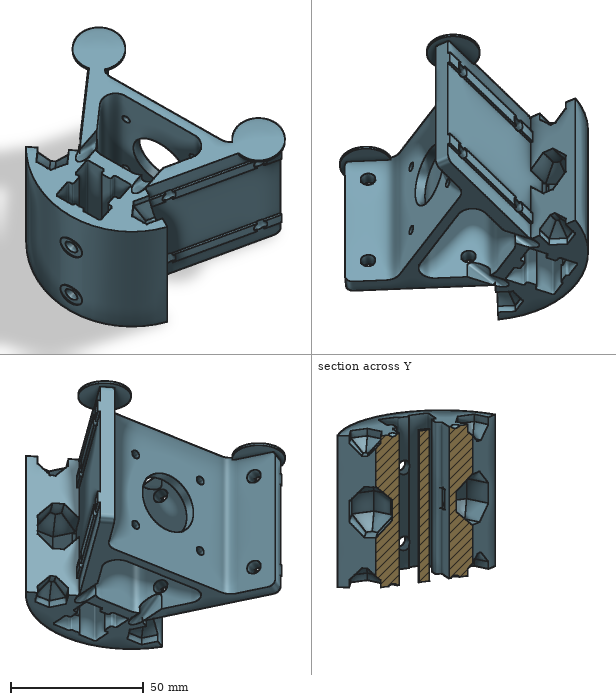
import cadquery as cq
import math

WIDTH = 93.84
HEIGHT = 60.0
Z_TOP = HEIGHT / 2
Z_BOTTOM = -HEIGHT / 2
MIRROR_SIDES = (-1, 1)
ARM_ANGLE = 60.0
ARM_COS = math.cos(math.radians(ARM_ANGLE))
ARM_SIN = math.sin(math.radians(ARM_ANGLE))

FRONT_RADIUS = 40.0
FRONT_CENTER_Y = 25.0
SHOULDER_OFFSET = 18.05

ARM_FACE_OFFSET = 7.0
ARM_INNER_OFFSET = 1.43
ARM_LENGTH = 74.5
ARM_END_FILLET = 3.0
PAD_STRIP_THICKNESS = 0.95
PAD_STRIP_HEIGHT = 4.8
PAD_STRIP_OVERLAP = 1.0
ARM_HOLE_DIAMETER = 5.6
ARM_HOLE_STATIONS = (27.75, 65.75)
ARM_HOLE_LEVELS = (-20.0, 20.0)
ARM_HOLE_DEPTH = 15.0

POCKET_FRONT_Y = 15.2
POCKET_BACK_Y = 43.1
CROSS_WALL_BACK_Y = 47.2
POCKET_FILLET = 6.0

BED_PAD_RADIUS = 10.0
BED_PAD_THICKNESS = 1.0
BED_PAD_X = WIDTH / 2 - BED_PAD_RADIUS
BED_PAD_Y = 55.56

SOCKET_WIDTH = 20.5
SOCKET_FILLET = 0.75
RIB_WIDTH = 4.5
RIB_HEIGHT = 2.25
FRONT_RIB_HEIGHT = 1.0
FRONT_RIB_FILLET = 0.45

SCREW_DIAMETER = 5.5
SCREW_LEVELS = (-20.0, 10.0)
SCREW_SEAT_DIAMETER = 10.0
SCREW_SEAT_DEPTH = 0.45

REAR_BORE_DIAMETER = 24.4
REAR_SCREW_DIAMETER = 3.4
REAR_SCREW_SPACING = 31.0

GROOVE_X = 12.93
GROOVE_DIAMETER = 4.8
GROOVE_SLOPE = 27.0
GROOVE_FRONT_Y = 7.5
GROOVE_LENGTH = 16.0

RECESS_OUTER_OFFSET = 22.9
END_RECESS_INNER_OFFSET = 11.1
END_RECESS_STATION = 14.85
END_RECESS_STRAIGHT = 5.8
END_RECESS_TAPER = 4.95
END_RECESS_TIP_WIDTH = 2.1
MID_RECESS_STATION = 12.5
MID_RECESS_STRAIGHT = 8.0
MID_RECESS_TAPER = 6.0
MID_RECESS_TIP_WIDTH = 4.4
SOCKET_WINDOW_BACK_Y = 5.1
SOCKET_WINDOW_HALF_LENGTH = 11.2
RECESS_REACH = 12.0


def arm_point(side, station, offset):
    """XY of a point given by its distance along an arm and its offset from the origin."""
    x = station * ARM_COS + offset * ARM_SIN
    y = station * ARM_SIN - offset * ARM_COS
    return (side * x, y)


def arm_x(offset, y):
    """X at height y on the plane parallel to an arm at the given offset."""
    return (offset + y * ARM_COS) / ARM_SIN


def prism(points, height=HEIGHT, bottom=Z_BOTTOM):
    """Upright prism over a closed outline."""
    return cq.Workplane("XY").workplane(offset=bottom).polyline(points).close().extrude(height)


def arm_box(side, stations, offsets, height, level):
    """Block aligned with one arm, centred on a level."""
    (s0, s1), (t0, t1) = stations, offsets
    corners = [(s0, t0), (s1, t0), (s1, t1), (s0, t1)]
    points = [arm_point(side, s, t) for s, t in corners]
    return prism(points, height, level - height / 2)


def front_block():
    """Cylinder segment behind the curved front, closed by two sloping shoulders."""
    shoulder_peak = SHOULDER_OFFSET / ARM_SIN
    run = 2 * FRONT_RADIUS
    drop = run * ARM_COS / ARM_SIN
    wedge = prism([
        (0, shoulder_peak),
        (-run, shoulder_peak - drop),
        (run, shoulder_peak - drop),
    ])
    cylinder = (
        cq.Workplane("XY")
        .workplane(offset=Z_BOTTOM)
        .center(0, FRONT_CENTER_Y)
        .circle(FRONT_RADIUS)
        .extrude(HEIGHT)
    )
    return cylinder.intersect(wedge)


def arm(side):
    """Side wall with rounded end corners."""
    block = arm_box(side, (0, ARM_LENGTH), (ARM_INNER_OFFSET, ARM_FACE_OFFSET), HEIGHT, 0)
    outward = cq.Vector(side * ARM_COS, ARM_SIN, 0)
    end_face = block.faces(cq.selectors.DirectionMinMaxSelector(outward, True))
    return end_face.edges("#Z").fillet(ARM_END_FILLET)


def cross_walls():
    """Solid between the arms up to the rear wall, with fillets into the arms behind it."""
    front_y = SOCKET_WIDTH / 2
    back_y = CROSS_WALL_BACK_Y + POCKET_FILLET
    half_front = arm_x(ARM_FACE_OFFSET, front_y)
    half_back = arm_x(ARM_FACE_OFFSET, back_y)
    fill = prism([(-half_front, front_y), (half_front, front_y), (half_back, back_y), (-half_back, back_y)])
    return fill.cut(trapezoid(CROSS_WALL_BACK_Y, back_y + POCKET_FILLET, "<Y"))


def trapezoid(front_y, back_y, filleted):
    """Space between the inner arm faces, with the chosen upright edges rounded."""
    half_front = arm_x(ARM_INNER_OFFSET, front_y)
    half_back = arm_x(ARM_INNER_OFFSET, back_y)
    space = prism([(-half_front, front_y), (half_front, front_y), (half_back, back_y), (-half_back, back_y)])
    return space.edges("|Z").edges(filleted).fillet(POCKET_FILLET)


def pad_strips():
    """Raised strips along the arm faces, one per hole level."""
    strips = cq.Workplane("XY")
    stations = (SHOULDER_OFFSET - PAD_STRIP_OVERLAP, ARM_LENGTH)
    offsets = (ARM_INNER_OFFSET, ARM_FACE_OFFSET + PAD_STRIP_THICKNESS)
    for side in MIRROR_SIDES:
        for level in ARM_HOLE_LEVELS:
            strips = strips.add(arm_box(side, stations, offsets, PAD_STRIP_HEIGHT, level))
    return strips.combine()


def bed_pads():
    """Thin discs on top of the arm ends."""
    centers = [(side * BED_PAD_X, BED_PAD_Y) for side in MIRROR_SIDES]
    return (
        cq.Workplane("XY")
        .workplane(offset=Z_TOP - BED_PAD_THICKNESS)
        .pushPoints(centers)
        .circle(BED_PAD_RADIUS)
        .extrude(BED_PAD_THICKNESS)
    )


def socket():
    """Square through socket with a rib on each wall."""
    half = SOCKET_WIDTH / 2
    void = cq.Workplane("XY").workplane(offset=Z_BOTTOM).rect(SOCKET_WIDTH, SOCKET_WIDTH).extrude(HEIGHT)
    void = void.edges("|Z").fillet(SOCKET_FILLET)
    side_rib = (RIB_HEIGHT, SOCKET_FILLET)
    front_rib = (FRONT_RIB_HEIGHT, FRONT_RIB_FILLET)
    for rib_height, fillet in (side_rib, front_rib, side_rib, side_rib):
        rib = (
            cq.Workplane("XY")
            .workplane(offset=Z_BOTTOM)
            .center(half - rib_height / 2, 0)
            .rect(rib_height, RIB_WIDTH)
            .extrude(HEIGHT)
        )
        around_rib = cq.selectors.BoxSelector(
            (half - 1.5 * rib_height, -RIB_WIDTH, Z_BOTTOM), (half + rib_height, RIB_WIDTH, Z_TOP)
        )
        void = void.cut(rib)
        void = void.edges("|Z").edges(around_rib).fillet(fillet)
        void = void.rotate((0, 0, 0), (0, 0, 1), 90)
    return void


def front_screw_holes():
    """Holes from the curved front into the socket, each with a shallow flat seat."""
    front_y = FRONT_CENTER_Y - FRONT_RADIUS
    points = [(0, level) for level in SCREW_LEVELS]
    plane = cq.Workplane("XZ", origin=(0, front_y, 0)).pushPoints(points)
    holes = plane.circle(SCREW_DIAMETER / 2).extrude(front_y)
    seats = plane.circle(SCREW_SEAT_DIAMETER / 2).extrude(-SCREW_SEAT_DEPTH)
    return holes.union(seats)


def arm_holes():
    """Holes square to the arm faces, through the strips and the arms."""
    holes = cq.Workplane("XY")
    start = ARM_FACE_OFFSET + 2 * PAD_STRIP_THICKNESS
    for side in MIRROR_SIDES:
        inward = cq.Vector(-side * ARM_SIN, ARM_COS, 0)
        for station in ARM_HOLE_STATIONS:
            for level in ARM_HOLE_LEVELS:
                origin = cq.Vector(*arm_point(side, station, start), level)
                hole = cq.Solid.makeCylinder(ARM_HOLE_DIAMETER / 2, ARM_HOLE_DEPTH, origin, inward)
                holes = holes.add(hole)
    return holes.combine()


def rear_wall_openings():
    """Central bore and a square pattern of small holes through the rear wall."""
    front_y = POCKET_BACK_Y - POCKET_FILLET
    depth = CROSS_WALL_BACK_Y - front_y
    plane = cq.Workplane("XZ", origin=(0, front_y, 0))
    bore = plane.circle(REAR_BORE_DIAMETER / 2).extrude(-depth)
    screw_holes = (
        plane.rect(REAR_SCREW_SPACING, REAR_SCREW_SPACING, forConstruction=True)
        .vertices()
        .circle(REAR_SCREW_DIAMETER / 2)
        .extrude(-depth)
    )
    return bore.union(screw_holes)


def driver_grooves():
    """Open round-bottomed grooves sloping from the top and bottom faces into the pocket."""
    slope = math.radians(GROOVE_SLOPE)
    radius = GROOVE_DIAMETER / 2
    start_y = GROOVE_FRONT_Y + radius / math.sin(slope)
    end_y = start_y + GROOVE_LENGTH
    drop = GROOVE_LENGTH * math.tan(slope)
    rise = 2 * radius * math.tan(slope)
    length = (GROOVE_LENGTH + 2 * radius) / math.cos(slope)
    direction = cq.Vector(0, math.cos(slope), -math.sin(slope))
    upper = cq.Workplane("XY")
    for side in MIRROR_SIDES:
        start = cq.Vector(side * GROOVE_X, start_y - 2 * radius, Z_TOP + rise)
        bore = cq.Solid.makeCylinder(radius, length, start, direction)
        slot = (
            cq.Workplane("YZ", origin=(side * GROOVE_X, 0, 0))
            .polyline([(start_y, Z_TOP), (end_y, Z_TOP), (end_y, Z_TOP - drop)])
            .close()
            .extrude(radius, both=True)
        )
        upper = upper.add(bore).add(slot)
    upper = upper.combine()
    return upper.union(upper.mirror("XY"))


def hexagon(side, station, offset, width):
    """Hexagon with two flats along the arm, drawn out along the arm past the shoulder."""
    radius = width / 2 / math.cos(math.pi / 6)
    half = radius / 2
    outer = half + RECESS_REACH
    corners = [
        (-half, -width / 2),
        (-radius, 0),
        (-half, width / 2),
        (outer, width / 2),
        (outer + half, 0),
        (outer, -width / 2),
    ]
    return [arm_point(side, station + s, offset + t) for s, t in corners]


def recess(side, station, inner_offset, level, straight, taper, tip_width):
    """Hexagonal recess: a straight part around a level, tapering above and below."""
    width = RECESS_OUTER_OFFSET - inner_offset
    offset = RECESS_OUTER_OFFSET - width / 2
    wide = hexagon(side, station, offset, width)
    tip = hexagon(side, station, offset, tip_width)
    body = prism(wide, straight, level - straight / 2)
    for direction in (-1, 1):
        cone = (
            cq.Workplane("XY")
            .workplane(offset=level + direction * straight / 2)
            .polyline(wide)
            .close()
            .workplane(offset=direction * taper)
            .polyline(tip)
            .close()
            .loft(ruled=True)
        )
        body = body.union(cone)
    return body


def shoulder_recesses(side):
    """Half recesses open to the top and bottom faces and a wider closed one at mid height."""
    end = dict(
        station=END_RECESS_STATION,
        inner_offset=END_RECESS_INNER_OFFSET,
        straight=END_RECESS_STRAIGHT,
        taper=END_RECESS_TAPER,
        tip_width=END_RECESS_TIP_WIDTH,
    )
    top = recess(side, level=Z_TOP, **end)
    bottom = recess(side, level=Z_BOTTOM, **end)
    middle = recess(
        side,
        level=0,
        station=MID_RECESS_STATION,
        inner_offset=ARM_FACE_OFFSET,
        straight=MID_RECESS_STRAIGHT,
        taper=MID_RECESS_TAPER,
        tip_width=MID_RECESS_TIP_WIDTH,
    )
    return top.union(bottom).union(middle)


def socket_window():
    """Opening between the socket and the middle recess of each shoulder, beside the socket ribs."""
    front_y = RIB_WIDTH / 2
    x = SOCKET_WINDOW_HALF_LENGTH
    corners = [(-x, front_y), (x, front_y), (x, SOCKET_WINDOW_BACK_Y), (-x, SOCKET_WINDOW_BACK_Y)]
    return prism(corners, MID_RECESS_STRAIGHT, -MID_RECESS_STRAIGHT / 2)


result = front_block()
for side in MIRROR_SIDES:
    result = result.union(arm(side))
result = result.union(cross_walls())
result = result.cut(trapezoid(POCKET_FRONT_Y, POCKET_BACK_Y, "|Z"))
for side in MIRROR_SIDES:
    result = result.cut(shoulder_recesses(side))
result = result.union(pad_strips())
result = result.cut(socket())
result = result.cut(socket_window())
result = result.cut(front_screw_holes())
result = result.cut(arm_holes())
result = result.cut(rear_wall_openings())
result = result.cut(driver_grooves())
result = result.union(bed_pads())